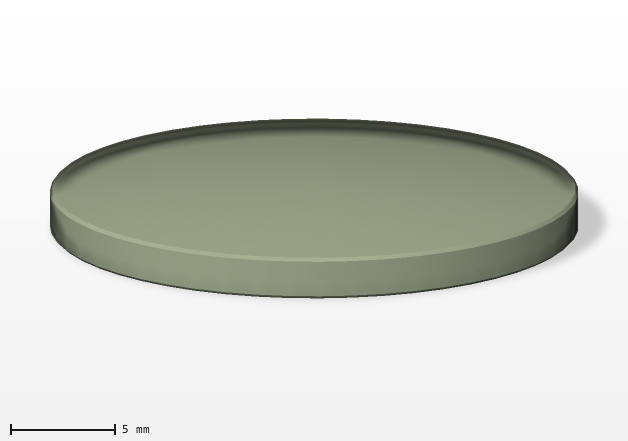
import cadquery as cq
import math

diameter = 25.4
center_thickness = 3.01
edge_thickness = 2.0
bevel_face_width = 0.2

radius = diameter / 2
bevel = bevel_face_width / math.sqrt(2)
rim_radius = radius - bevel
sagitta = center_thickness - edge_thickness
sphere_radius = (radius**2 + sagitta**2) / (2 * sagitta)
sphere_center_z = center_thickness - sphere_radius


def convex_height(distance):
    """Height of the spherical face at a distance from the lens axis."""
    return sphere_center_z + math.sqrt(sphere_radius**2 - distance**2)


def lens_body():
    """Revolve the bevelled half section about the Z axis."""
    arc_mid_radius = rim_radius / 2
    half_section = (
        cq.Workplane("XZ")
        .lineTo(-rim_radius, 0)
        .lineTo(-radius, bevel)
        .lineTo(-radius, edge_thickness - bevel)
        .lineTo(-rim_radius, convex_height(rim_radius))
        .threePointArc(
            (-arc_mid_radius, convex_height(arc_mid_radius)),
            (0, center_thickness),
        )
        .close()
    )
    return half_section.revolve(360, (0, 0, 0), (0, 1, 0))


result = lens_body()